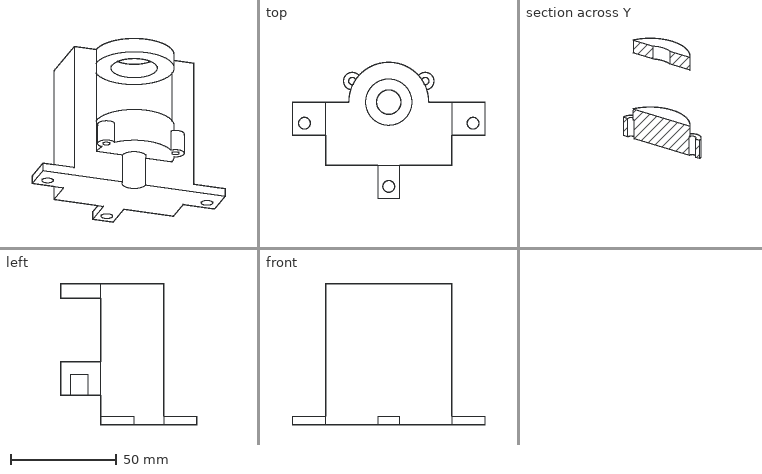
import cadquery as cq
import math

block_width = 60.0
block_depth = 30.0
block_height = 67.0

tab_length = 15.75
tab_thickness = 4.0
side_tab_width = 15.75
front_tab_width = 10.25
tab_hole_diameter = 5.5
tab_hole_offset = 10.0

plate_radius = 19.0
upper_plate_thickness = 7.0
upper_bore_diameter = 22.0
lower_plate_bottom = 14.0
lower_plate_thickness = 16.0
lower_bore_diameter = 11.5

ear_hole_diameter = 3.4
ear_wall = 2.5
ear_height = 10.0
ear_pitch_radius = 20.0
ear_angles = (30.0, 150.0)

upper_plate_bottom = block_height - upper_plate_thickness
lower_plate_top = lower_plate_bottom + lower_plate_thickness


def box(x_min, y_min, width, depth, height):
    """Box standing on Z = 0 with its low X and low Y corner at the given point."""
    return cq.Workplane("XY").box(width, depth, height, centered=False).translate((x_min, y_min, 0))


def cylinder(x, y, z_bottom, radius, height):
    """Vertical cylinder standing at z_bottom."""
    return cq.Workplane("XY").workplane(offset=z_bottom).center(x, y).circle(radius).extrude(height)


def make_side_tab(side):
    """Base tab on the +X (side = 1) or -X (side = -1) face, flush with the back face."""
    center_x = side * (block_width + tab_length) / 2
    hole_x = side * (block_width / 2 + tab_hole_offset)
    tab = box(center_x - tab_length / 2, -side_tab_width, tab_length, side_tab_width, tab_thickness)
    return tab.cut(cylinder(hole_x, -tab_hole_offset, 0, tab_hole_diameter / 2, tab_thickness))


def make_front_tab():
    """Base tab in the middle of the front face."""
    tab = box(-front_tab_width / 2, -block_depth - tab_length, front_tab_width, tab_length, tab_thickness)
    hole_y = -block_depth - tab_hole_offset
    return tab.cut(cylinder(0, hole_y, 0, tab_hole_diameter / 2, tab_thickness))


def ear_position(angle):
    """Centre of an ear at the given angle around the plate axis."""
    x = ear_pitch_radius * math.cos(math.radians(angle))
    y = ear_pitch_radius * math.sin(math.radians(angle))
    return x, y


body = box(-block_width / 2, -block_depth, block_width, block_depth, block_height)
body = body.union(cylinder(0, 0, upper_plate_bottom, plate_radius, upper_plate_thickness))
body = body.union(cylinder(0, 0, lower_plate_bottom, plate_radius, lower_plate_thickness))

ear_radius = ear_hole_diameter / 2 + ear_wall
for angle in ear_angles:
    ear_x, ear_y = ear_position(angle)
    body = body.union(cylinder(ear_x, ear_y, lower_plate_bottom, ear_radius, ear_height))
    body = body.cut(cylinder(ear_x, ear_y, lower_plate_bottom, ear_hole_diameter / 2, ear_height))

recess_height = upper_plate_bottom - lower_plate_top
body = body.cut(cylinder(0, 0, lower_plate_top, plate_radius, recess_height))

body = body.cut(cylinder(0, 0, upper_plate_bottom, upper_bore_diameter / 2, upper_plate_thickness))
body = body.cut(cylinder(0, 0, 0, lower_bore_diameter / 2, lower_plate_top))

for side in (-1, 1):
    body = body.union(make_side_tab(side))
result = body.union(make_front_tab())